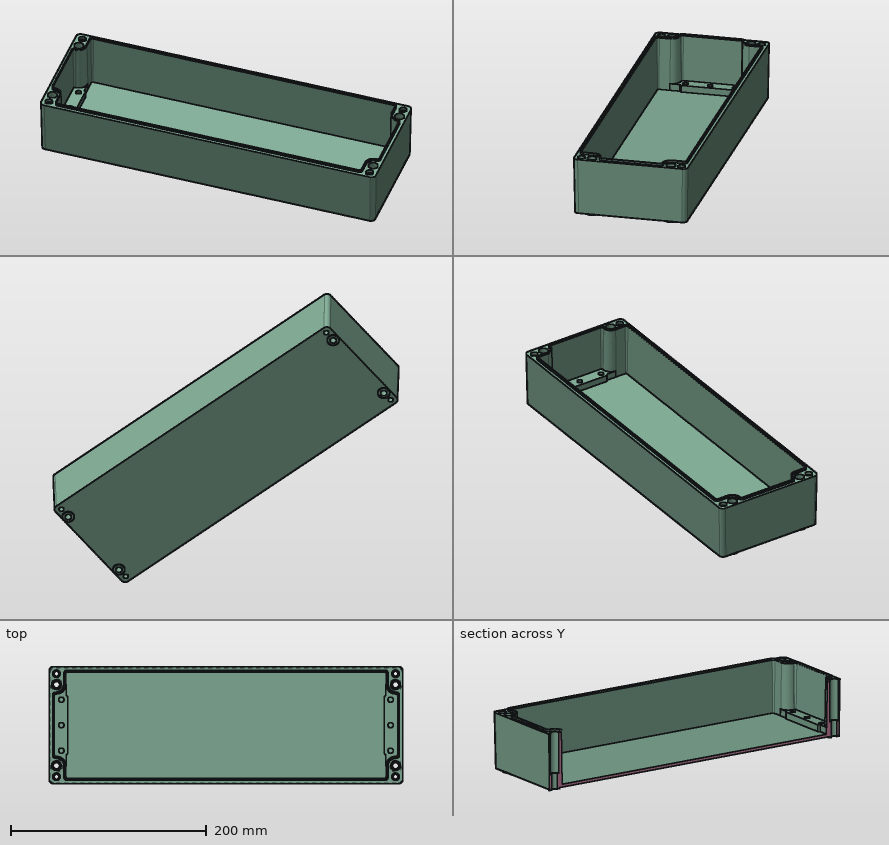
import cadquery as cq

length = 361.5
width = 119.5
height = 62.5

foot_height = 1.0
lip_height = 2.0
corner_radius = 4.7
base_inset = 0.98
rim_z = height - lip_height

end_wall = 4.7
side_wall = 4.7
lip_width = 1.0
cavity_radius = 2.0
cavity_draft = 1.0
floor_z = 4.7

column_x = 7.5
mount_y = 18.5
cover_y = 7.2
column_radius = 8.5
foot_diameter = 12.3

mount_diameter = 6.5
mount_bore_diameter = 9.8
mount_bore_depth = 43.5
cover_diameter = 5.0
cover_bore_diameter = 7.5
cover_bore_depth = 3.5

ledge_z = 12.0
ledge_depth = 19.0
ledge_shoulder_depth = 17.5
ledge_shoulder_y = 30.7
ledge_step_y = 29.0
boss_hole_diameter = 5.5
boss_hole_depth = 3.5
boss_hole_inset = 12.5
boss_hole_pitch = 26.0


def corner_points(inset_x, inset_y):
    """Four mirrored points, inset from the outer faces."""
    x = length / 2 - inset_x
    y = width / 2 - inset_y
    return [(x, y), (-x, y), (-x, -y), (x, -y)]


def cavity_outline(z, grow=0.0):
    """Cavity outline stepping around the columns, offset outward by grow."""
    end_x = length / 2 - end_wall + grow
    side_y = width / 2 - side_wall + grow
    inner_r = cavity_radius + grow
    outer_r = column_radius - grow
    hole_x = length / 2 - column_x
    hole_y = width / 2 - mount_y
    step_x = hole_x - outer_r
    step_y = hole_y - outer_r
    return (
        cq.Workplane("XY", origin=(0, 0, z))
        .moveTo(0, side_y)
        .lineTo(step_x - inner_r, side_y)
        .radiusArc((step_x, side_y - inner_r), inner_r)
        .lineTo(step_x, hole_y)
        .radiusArc((hole_x, step_y), -outer_r)
        .lineTo(end_x - inner_r, step_y)
        .radiusArc((end_x, step_y - inner_r), inner_r)
        .lineTo(end_x, 0)
        .mirrorX()
        .mirrorY()
    )


def rounded_rectangle(size_x, size_y):
    """Outer outline with the body's rounded corners."""
    return cq.Sketch().rect(size_x, size_y).vertices().fillet(corner_radius)


def drafted_body():
    """Outer block, widest at the rim and narrowing towards the base."""
    base = rounded_rectangle(length - 2 * base_inset, width - 2 * base_inset)
    rim = rounded_rectangle(length, width)
    lift = cq.Location(cq.Vector(0, 0, rim_z - foot_height))
    return (
        cq.Workplane("XY", origin=(0, 0, foot_height))
        .placeSketch(base, rim.moved(lift))
        .loft(ruled=True)
    )


def ledge(side):
    """Raised ledge at one end of the floor; side is +1 or -1 along X."""
    wall_x = length / 2 - end_wall / 2
    shoulder_x = length / 2 - ledge_shoulder_depth
    front_x = length / 2 - ledge_depth
    back_y = width / 2 - mount_y
    half = [
        (wall_x, back_y),
        (shoulder_x, back_y),
        (shoulder_x, ledge_shoulder_y),
        (front_x, ledge_step_y),
    ]
    outline = half + [(x, -y) for x, y in reversed(half)]
    hole_x = side * (length / 2 - boss_hole_inset)
    return (
        cq.Workplane("XY", origin=(0, 0, floor_z / 2))
        .polyline([(side * x, y) for x, y in outline])
        .close()
        .extrude(ledge_z - floor_z / 2)
        .faces(">Z")
        .workplane(origin=(0, 0, ledge_z))
        .pushPoints([(hole_x, i * boss_hole_pitch) for i in (-1, 0, 1)])
        .hole(boss_hole_diameter, boss_hole_depth)
    )


def stepped_holes(points, diameter, bore_diameter, bore_depth):
    """Counterbored through holes cut down from the rim."""
    through = (
        cq.Workplane("XY")
        .pushPoints(points)
        .circle(diameter / 2)
        .extrude(rim_z)
    )
    bore = (
        cq.Workplane("XY", origin=(0, 0, rim_z))
        .pushPoints(points)
        .circle(bore_diameter / 2)
        .extrude(-bore_depth)
    )
    return through.union(bore)


mount_points = corner_points(column_x, mount_y)
cover_points = corner_points(column_x, cover_y)

feet = (
    cq.Workplane("XY")
    .pushPoints(mount_points)
    .circle(foot_diameter / 2)
    .extrude(foot_height + floor_z / 2)
)
lip = cavity_outline(rim_z, lip_width).extrude(lip_height)
cavity = cavity_outline(height).extrude(floor_z - height, taper=cavity_draft)

result = drafted_body().union(feet).union(lip).cut(cavity)
for end in (-1, 1):
    result = result.union(ledge(end))
mount_holes = stepped_holes(mount_points, mount_diameter, mount_bore_diameter, mount_bore_depth)
cover_holes = stepped_holes(cover_points, cover_diameter, cover_bore_diameter, cover_bore_depth)
result = result.cut(mount_holes).cut(cover_holes)